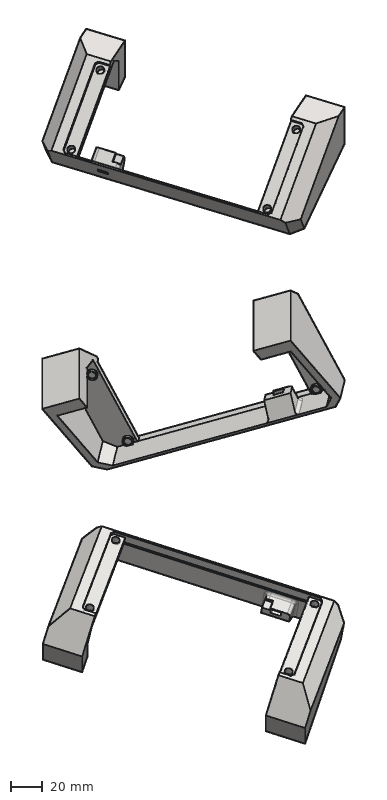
import cadquery as cq
import math

length = 174.8
depth = 88.5
height = 47.7
tilt = 20.0
front_height = 24.8
peak_y = 63.3
back_height = 38.5
leg_width = 26.2
top_chamfer = 10.0
corner_chamfer = 7.0

side_wall = 5.2
back_wall = 11.2
front_wall = 2.5
roof_depth = 7.7
gusset_base = 30.6
gusset_run = 8.7
gusset_rise = 11.4

recess_depth = 2.6
recess_rim = 1.2
recess_back = 64.9
recess_half_width = 70.5
recess_corner = 1.7

hole_diameter = 5.0
hole_depth = 6.5
hole_x = 66.2
hole_positions = (5.2, 60.5)
boss_diameter = 7.0
boss_floor = 0.7

housing_x = -44.2
housing_width = 18.7
housing_top = 10.0
housing_height = 8.0
housing_back = 13.6
housing_round = 2.3
housing_flare = 2.1
port_width = 6.8
port_height = 3.8
port_round = 0.7
port_top = 11.0
notch_width = 5.2
notch_front = 7.5
notch_depth = 2.1

half_length = length / 2
leg_inner_x = half_length - leg_width
sin_tilt = math.sin(math.radians(tilt))
cos_tilt = math.cos(math.radians(tilt))
tan_tilt = sin_tilt / cos_tilt
wall_middle = front_wall / 2
foot_y = front_height * tan_tilt
reach = depth + height


def box(x_range, y_range, z_range):
    """Box given by its limits along each axis."""
    (x0, x1), (y0, y1), (z0, z1) = x_range, y_range, z_range
    return cq.Workplane("XY").box(x1 - x0, y1 - y0, z1 - z0, centered=False).translate((x0, y0, z0))


def tilted(shape):
    """Move from the sloping top's frame (y up the slope, z out of it) to the part's frame."""
    return shape.rotate((0, 0, 0), (1, 0, 0), tilt).translate((0, 0, front_height))


def along_x(points, x0, x1):
    """Prism with a YZ outline running from x0 to x1."""
    return cq.Workplane("YZ", origin=(x0, 0, 0)).polyline(points).close().extrude(x1 - x0)


def make_body():
    body = along_x(
        [(foot_y, 0), (depth, 0), (depth, back_height), (peak_y, height), (0, front_height)],
        -half_length, half_length,
    )
    for side in (-1, 1):
        edge = side * half_length
        top_cut = (
            cq.Workplane("XZ", origin=(0, reach, 0))
            .polyline([(edge, 0), (edge - side * top_chamfer, 0), (edge, -top_chamfer)])
            .close().extrude(2 * reach)
        )
        corner_cut = (
            cq.Workplane("XY", origin=(0, 0, -reach))
            .polyline([(edge, 0), (edge - side * corner_chamfer, 0), (edge, corner_chamfer)])
            .close().extrude(2 * reach)
        )
        body = body.cut(tilted(top_cut)).cut(tilted(corner_cut))
    return body


def make_hollow():
    """Space under the roof and between the legs, inside the outer walls."""
    inside_x = half_length - side_wall
    back_y = depth - back_wall
    ceiling = box((-inside_x, inside_x), (front_wall, reach), (-reach, -roof_depth))
    for side in (-1, 1):
        edge = side * inside_x
        inner_corner = (
            cq.Workplane("XY", origin=(0, 0, -reach))
            .polyline([(edge, front_wall), (edge - side * corner_chamfer, front_wall),
                       (edge, front_wall + corner_chamfer)])
            .close().extrude(2 * reach)
        )
        ceiling = ceiling.cut(inner_corner)
    under_back = along_x(
        [(-reach, -1.7), (back_y, -1.7), (back_y, gusset_base),
         (back_y - gusset_run, gusset_base + gusset_rise), (-reach, gusset_base + gusset_rise)],
        -inside_x, inside_x,
    )
    hollow = tilted(ceiling).intersect(under_back)
    gap = tilted(box((-leg_inner_x, leg_inner_x), (front_wall, 2 * reach), (-reach, reach)))
    return hollow.union(gap)


def make_recess():
    recess = box((-recess_half_width, recess_half_width), (recess_rim, recess_back), (-recess_depth, reach))
    recess = recess.edges("|Z").chamfer(recess_corner)
    lip_gap = box((-leg_inner_x, leg_inner_x), (recess_rim, recess_back), (-roof_depth, reach))
    return tilted(recess.union(lip_gap))


def screw_cylinders(diameter, cylinder_depth):
    """Cylinders sunk from the recess floor at every screw position."""
    points = [(side * hole_x, y) for side in (-1, 1) for y in hole_positions]
    cylinders = (
        cq.Workplane("XY", origin=(0, 0, -recess_depth))
        .pushPoints(points).circle(diameter / 2).extrude(-cylinder_depth)
    )
    return tilted(cylinders)


def make_housing():
    """Rounded block flaring into the front wall, on a sloping underside that meets the wall's foot."""
    left = housing_x - housing_width / 2
    right = housing_x + housing_width / 2
    block = box((left, right), (wall_middle, housing_back), (-reach, -housing_top))
    block = block.edges("|Y and >Z").fillet(housing_round)
    wall = box((left - reach, right + reach), (wall_middle, front_wall), (-reach, reach))
    joint_zone = cq.selectors.BoxSelector(
        (left - housing_flare, wall_middle, -reach),
        (right + housing_flare, front_wall + wall_middle, 0),
    )
    joint_edges = wall.union(block).edges(joint_zone).edges("not(<Z)")
    flared = joint_edges.fillet(housing_flare)
    flare_top = housing_flare - housing_top
    wall_foot = -front_height / cos_tilt - front_wall * tan_tilt
    support = along_x(
        [(wall_middle, flare_top), (housing_back, flare_top),
         (housing_back, -housing_top - housing_height), (front_wall, wall_foot), (wall_middle, wall_foot)],
        left - housing_flare, right + housing_flare,
    )
    notch = box((right - notch_width, right + 1.7), (notch_front, reach), (-housing_top - notch_depth, 0))
    housing = tilted(flared.intersect(support).cut(notch))
    above_base = box((-half_length, half_length), (0, depth), (0, height))
    return housing.intersect(above_base)


def make_port():
    half_width = port_width / 2
    return tilted(box(
        (housing_x - half_width, housing_x + half_width),
        (-1.7, housing_back + 1.7),
        (-port_top - port_height, -port_top),
    ).edges("|Y").fillet(port_round))


result = make_body().cut(make_hollow()).cut(make_recess())
result = result.union(screw_cylinders(boss_diameter, hole_depth + boss_floor))
result = result.cut(screw_cylinders(hole_diameter, hole_depth))
result = result.union(make_housing()).cut(make_port())